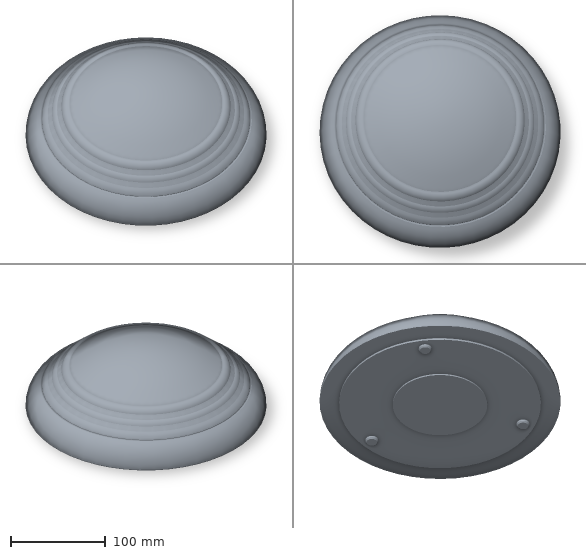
import cadquery as cq
import math

total_height = 80.0
outer_radius = 127.5

rim_bottom_z = 5.4
rim_lip_top_z = 6.4
rim_lip_setback = 0.3
rim_arc_radius = 29.5
rim_inner_radius = 112.0
valley_radius = 110.3
valley_z = 32.4
valley_wall_height = 0.6

rings = [
    (valley_radius, valley_z + valley_wall_height, 103.9, 39.3, 0.8),
    (99.6, 43.1, 94.0, 47.7, 0.7),
    (89.5, 51.4, 82.0, 56.7, 1.3),
]

dome_edge_radius = 80.6
dome_edge_z = 56.9

plate_radius = 106.7
plate_bottom_z = 3.2
disc_radius = 50.0
disc_bottom_z = 1.6
foot_count = 3
foot_radius = 6.9
foot_chamfer = 1.4
foot_circle_radius = 93.7
first_foot_angle = -90.0


def bulge_point(start, end, bulge):
    """Midpoint of the chord pushed outward (away from the axis and up)."""
    chord_r = end[0] - start[0]
    chord_z = end[1] - start[1]
    length = math.hypot(chord_r, chord_z)
    middle_r = (start[0] + end[0]) / 2
    middle_z = (start[1] + end[1]) / 2
    return (middle_r + bulge * chord_z / length, middle_z - bulge * chord_r / length)


def make_shade():
    """Solid of revolution: rounded rim, stepped rings and dome."""
    rim_center_r = outer_radius - rim_arc_radius
    rim_top_z = rim_lip_top_z + math.sqrt(rim_arc_radius**2 - (rim_inner_radius - rim_center_r) ** 2)
    rim_half_angle = math.atan2(rim_top_z - rim_lip_top_z, rim_inner_radius - rim_center_r) / 2
    rim_middle = (
        rim_center_r + rim_arc_radius * math.cos(rim_half_angle),
        rim_lip_top_z + rim_arc_radius * math.sin(rim_half_angle),
    )

    profile = (
        cq.Workplane("XZ")
        .moveTo(0, rim_bottom_z)
        .lineTo(outer_radius - rim_lip_setback, rim_bottom_z)
        .lineTo(outer_radius, rim_lip_top_z)
        .threePointArc(rim_middle, (rim_inner_radius, rim_top_z))
        .lineTo(valley_radius, valley_z)
    )
    for outer_r, outer_z, inner_r, inner_z, bulge in rings:
        start = (outer_r, outer_z)
        end = (inner_r, inner_z)
        profile = profile.lineTo(*start).threePointArc(bulge_point(start, end, bulge), end)

    dome_rise = total_height - dome_edge_z
    dome_radius = (dome_edge_radius**2 + dome_rise**2) / (2 * dome_rise)
    dome_half_angle = math.asin(dome_edge_radius / dome_radius) / 2
    dome_middle = (
        dome_radius * math.sin(dome_half_angle),
        total_height - dome_radius * (1 - math.cos(dome_half_angle)),
    )
    profile = (
        profile.lineTo(dome_edge_radius, dome_edge_z)
        .threePointArc(dome_middle, (0, total_height))
        .close()
    )
    return profile.revolve(360, (0, 0, 0), (0, 1, 0))


def make_disc(radius, bottom_z):
    """Flat disc on the axis, reaching up to the underside of the rim."""
    return cq.Workplane("XY").workplane(offset=bottom_z).circle(radius).extrude(rim_bottom_z - bottom_z)


def make_feet():
    """Round feet with chamfered ends, evenly spaced on a circle."""
    return (
        cq.Workplane("XY")
        .polarArray(foot_circle_radius, first_foot_angle, 360, foot_count)
        .circle(foot_radius)
        .extrude(rim_bottom_z)
        .faces("<Z")
        .chamfer(foot_chamfer)
    )


result = (
    make_shade()
    .union(make_disc(plate_radius, plate_bottom_z))
    .union(make_disc(disc_radius, disc_bottom_z))
    .union(make_feet())
)